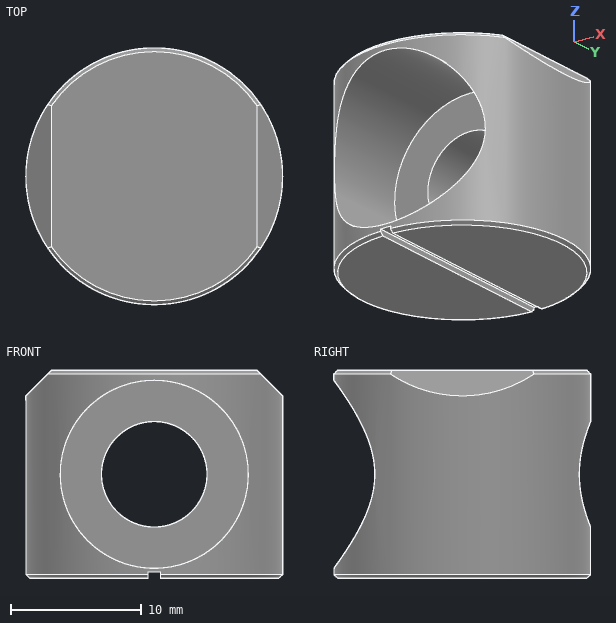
import cadquery as cq

diameter = 19.75
height = 16.0
edge_chamfer = 0.3
top_flat_half_width = 7.9
hole_diameter = 8.1
counterbore_diameter = 14.45
floor_y = 0.99
slot_width = 0.95
slot_depth = 0.47

radius = diameter / 2
bevel_size = radius - top_flat_half_width
bore_z = height / 2


def cylinder_along_y(bore_diameter, start_y, end_y):
    """Horizontal cylinder at mid height, running from start_y to end_y."""
    return cq.Workplane(
        cq.Solid.makeCylinder(
            bore_diameter / 2,
            end_y - start_y,
            cq.Vector(0, start_y, bore_z),
            cq.Vector(0, 1, 0),
        )
    )


def side_bevel(side):
    """Triangular prism removing the top edge on one X side (+1 or -1)."""
    return (
        cq.Workplane("XZ")
        .moveTo(side * top_flat_half_width, height)
        .lineTo(side * radius, height)
        .lineTo(side * radius, height - bevel_size)
        .close()
        .extrude(radius, both=True)
    )


body = cq.Workplane("XY").circle(radius).extrude(height).edges().chamfer(edge_chamfer)

for side in (-1, 1):
    body = body.cut(side_bevel(side))

body = body.cut(cylinder_along_y(hole_diameter, -radius, radius))
body = body.cut(cylinder_along_y(counterbore_diameter, -radius, floor_y))

slot = cq.Workplane("XY").rect(slot_width, diameter).extrude(slot_depth)
result = body.cut(slot)